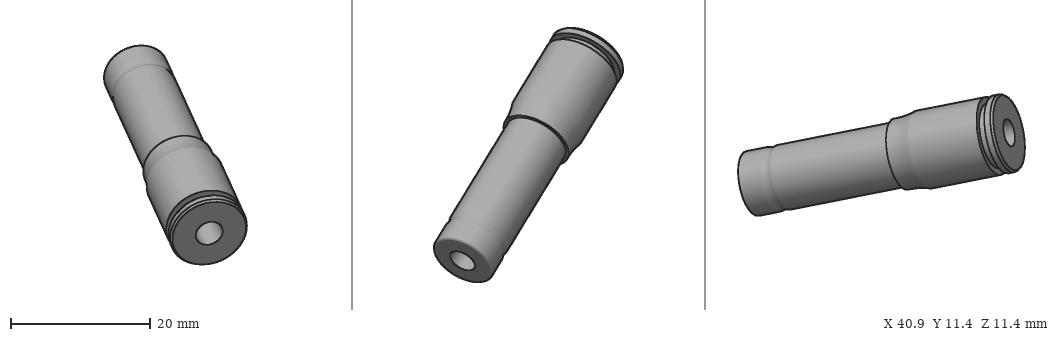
import cadquery as cq

LENGTH = 40.9
STEM_DIAMETER = 9.53
STEM_RADIUS = STEM_DIAMETER / 2
SLEEVE_RADIUS = 5.72
BORE_DIAMETER = 4.0

STEM_END_FILLET = 0.4

GROOVE_START = 3.6
GROOVE_FLOOR_START = 4.35
GROOVE_FLOOR_END = 4.7
GROOVE_END = 5.3
GROOVE_DEPTH = 0.15
GROOVE_FLOOR_RADIUS = STEM_RADIUS - GROOVE_DEPTH

SLEEVE_START = 23.8
LIP_LENGTH = 0.5
LIP_RADIUS = 5.25
FLARE_LENGTH = 3.2
FLARE_START = SLEEVE_START + LIP_LENGTH
FLARE_END = FLARE_START + FLARE_LENGTH

COLLAR_LENGTH = 1.3
NECK_LENGTH = 1.23
NECK_END = LENGTH - COLLAR_LENGTH
NECK_START = NECK_END - NECK_LENGTH
COLLAR_CHAMFER_LENGTH = 0.35
COLLAR_CHAMFER_DEPTH = 0.25


def turned_body():
    """Half outline in the XY plane, revolved around the X axis."""
    outline = (
        cq.Workplane("XY")
        .lineTo(0, STEM_RADIUS - STEM_END_FILLET)
        .tangentArcPoint((STEM_END_FILLET, STEM_RADIUS), relative=False)
        .lineTo(GROOVE_START, STEM_RADIUS)
        .lineTo(GROOVE_FLOOR_START, GROOVE_FLOOR_RADIUS)
        .lineTo(GROOVE_FLOOR_END, GROOVE_FLOOR_RADIUS)
        .lineTo(GROOVE_END, STEM_RADIUS)
        .lineTo(SLEEVE_START, STEM_RADIUS)
        .lineTo(SLEEVE_START, LIP_RADIUS)
        .lineTo(FLARE_START, LIP_RADIUS)
        .tangentArcPoint((FLARE_END, SLEEVE_RADIUS), relative=False)
        .lineTo(NECK_START, SLEEVE_RADIUS)
        .lineTo(NECK_START, STEM_RADIUS)
        .lineTo(NECK_END, STEM_RADIUS)
        .lineTo(NECK_END, SLEEVE_RADIUS)
        .lineTo(LENGTH - COLLAR_CHAMFER_LENGTH, SLEEVE_RADIUS)
        .lineTo(LENGTH, SLEEVE_RADIUS - COLLAR_CHAMFER_DEPTH)
        .lineTo(LENGTH, 0)
        .close()
    )
    return outline.revolve(360, (0, 0, 0), (1, 0, 0))


def through_bore():
    return cq.Workplane("YZ").circle(BORE_DIAMETER / 2).extrude(LENGTH)


result = turned_body().cut(through_bore())